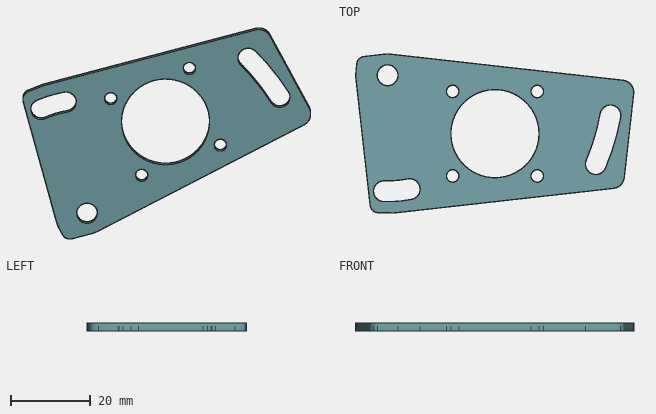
import cadquery as cq
import math

thickness = 2.0
bore_diameter = 22.1
screw_diameter = 3.1
screw_spacing = 21.25

pivot_x = -27.0
pivot_y = 14.7
slot_width = 5.2
short_slot_radius = 29.15
short_slot_start = -91.8
short_slot_end = -79.0
long_slot_radius = 56.9
long_slot_start = -23.1
long_slot_end = -10.2

edge_lean = 6.4
pivot_to_top = 5.4
pivot_to_left = 8.05
pivot_to_bottom = 34.6
pivot_to_right = 62.0
right_corner_radius = 3.15
top_left_corner_radius = 2.1
bottom_left_corner_radius = 2.25
end_lean_top = 6.4
end_lean_left = 6.0
lower_end_lean = 0.5
end_blend_radius = 8.4


def polar(radius, degrees):
    """Return the point at a radius and direction from the pivot hole."""
    angle = math.radians(degrees)
    return (pivot_x + radius * math.cos(angle), pivot_y + radius * math.sin(angle))


def crossing(first, second):
    """Intersect two edges, each given as (distance from pivot, normal direction)."""
    (d1, a1), (d2, a2) = first, second
    a1, a2 = math.radians(a1), math.radians(a2)
    det = math.sin(a2 - a1)
    x = (d1 * math.sin(a2) - d2 * math.sin(a1)) / det
    y = (d2 * math.cos(a1) - d1 * math.cos(a2)) / det
    return (pivot_x + x, pivot_y + y)


def plate():
    """Build the tapered plate and round its corners."""
    edges = [
        (pivot_to_top, 90 - edge_lean, right_corner_radius),
        (pivot_to_right, -edge_lean, right_corner_radius),
        (pivot_to_bottom, -90 + edge_lean, end_blend_radius),
        (pivot_to_bottom, -90 - lower_end_lean, bottom_left_corner_radius),
        (pivot_to_left, -180 + edge_lean, end_blend_radius),
        (pivot_to_left, -180 - end_lean_left, top_left_corner_radius),
        (pivot_to_top, 90 + end_lean_top, end_blend_radius),
    ]
    corners = []
    for index, edge in enumerate(edges):
        following = edges[(index + 1) % len(edges)]
        corners.append(crossing(edge[:2], following[:2]))
    body = cq.Workplane("XY").polyline(corners).close().extrude(thickness)
    for (x, y), (_, _, radius) in zip(corners, edges):
        nearest = cq.selectors.NearestToPointSelector((x, y, thickness / 2))
        body = body.edges("|Z").edges(nearest).fillet(radius)
    return body


def curved_slot(radius, start, end):
    """Build a round-ended slot cutter along an arc about the pivot hole."""
    inner = radius - slot_width / 2
    outer = radius + slot_width / 2
    middle = (start + end) / 2
    bulge = math.degrees(2 * math.asin(slot_width / 4 / radius))
    return (
        cq.Workplane("XY")
        .moveTo(*polar(inner, start))
        .threePointArc(polar(inner, middle), polar(inner, end))
        .threePointArc(polar(radius, end + bulge), polar(outer, end))
        .threePointArc(polar(outer, middle), polar(outer, start))
        .threePointArc(polar(radius, start - bulge), polar(inner, start))
        .close()
        .extrude(thickness)
    )


def round_hole(diameter, x=0, y=0):
    """Build a cutter for a round through hole."""
    return cq.Workplane("XY").center(x, y).circle(diameter / 2).extrude(thickness)


result = plate().cut(round_hole(bore_diameter))
result = result.cut(round_hole(slot_width, pivot_x, pivot_y))
for x_side in (-1, 1):
    for y_side in (-1, 1):
        screw_x = x_side * screw_spacing / 2
        screw_y = y_side * screw_spacing / 2
        result = result.cut(round_hole(screw_diameter, screw_x, screw_y))
result = result.cut(curved_slot(short_slot_radius, short_slot_start, short_slot_end))
result = result.cut(curved_slot(long_slot_radius, long_slot_start, long_slot_end))